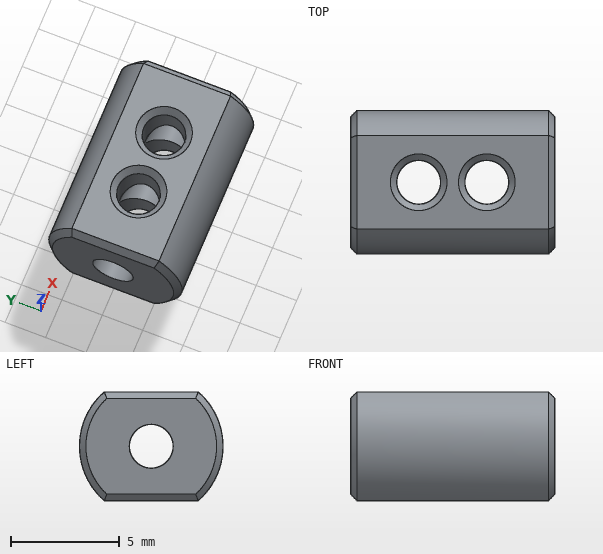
import cadquery as cq

pitch = 3.125
length = 3 * pitch
body_diameter = 6.6
flat_height = 5.0
hole_diameter = 2.0
chamfer = 0.3
cross_hole_count = 2


def make_body():
    """Cylinder along X with flats at top and bottom and chamfered ends."""
    cylinder = cq.Workplane("YZ").circle(body_diameter / 2).extrude(length / 2, both=True)
    flats = cq.Workplane("XY").box(length, body_diameter, flat_height)
    return cylinder.intersect(flats).faces("<X or >X").chamfer(chamfer)


def make_bore():
    """Cutter for the plain bore through the whole length."""
    return cq.Workplane("YZ").circle(hole_diameter / 2).extrude(length / 2, both=True)


def make_cross_hole(x):
    """Cutter for a vertical through hole, countersunk at both flats."""
    hole_radius = hole_diameter / 2
    rim_radius = hole_radius + chamfer
    half_height = flat_height / 2
    half_profile = [
        (0, -half_height),
        (rim_radius, -half_height),
        (hole_radius, -half_height + chamfer),
        (hole_radius, half_height - chamfer),
        (rim_radius, half_height),
        (0, half_height),
    ]
    cutter = cq.Workplane("XZ").polyline(half_profile).close().revolve(360, (0, 0), (0, 1))
    return cutter.translate((x, 0, 0))


result = make_body().cut(make_bore())
first_hole_x = -pitch * (cross_hole_count - 1) / 2
for index in range(cross_hole_count):
    result = result.cut(make_cross_hole(first_hole_x + index * pitch))